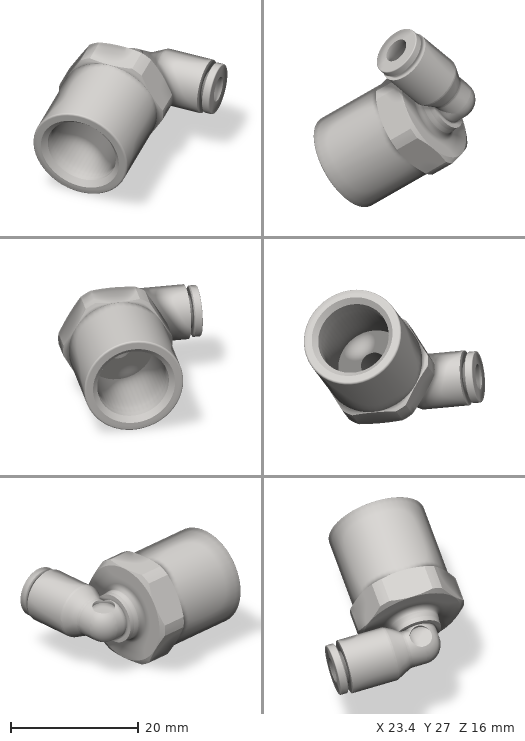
import cadquery as cq
import math


hex_flats = 16.0
hex_corner_radius = 8.75
hex_top_y = -4.47
hex_length = 5.0
hex_bottom_y = hex_top_y - hex_length
hex_chamfer_length = 0.43
hex_face_radius = 7.95

socket_radius = 7.92
socket_bottom_y = -22.6
socket_rim_fillet = 0.3
bore_radius = 5.75
bore_mouth_radius = 6.58
bore_mouth_depth = bore_mouth_radius - bore_radius
bore_floor_y = hex_bottom_y

ring_radius = 4.02
ring_top_y = -1.97
ring_bottom_y = -2.78
flare_bottom_y = -3.58
flare_radius = 4.15
root_fillet = 0.73

elbow_radius = 3.1
passage_radius = 2.02
cone_start_x = 2.6
cone_end_x = 5.15
cone_fillet = 0.75
arm_radius = 4.35
arm_end_x = 12.67

neck_radius = 2.61
button_radius = 4.07
button_start_x = 13.29
button_end_x = 14.6
button_back_chamfer_length = 0.25
button_back_chamfer_height = 0.15
button_front_fillet = 0.15

recess_radius = 1.78
recess_floor_z = 2.55


def rod_y(radius, low_y, high_y):
    """Cylinder on the Y axis."""
    return cq.Workplane("XZ", origin=(0, low_y, 0)).circle(radius).extrude(low_y - high_y)


def rod_x(radius, low_x, high_x):
    """Cylinder on the X axis."""
    return cq.Workplane("YZ", origin=(low_x, 0, 0)).circle(radius).extrude(high_x - low_x)


def make_nut():
    """Hexagon trimmed by a round envelope with a chamfer at each end."""
    hexagon = (
        cq.Workplane("XZ", origin=(0, hex_top_y, 0))
        .polygon(6, hex_flats / math.cos(math.pi / 6))
        .extrude(hex_length)
    )
    envelope = (
        cq.Workplane("XY")
        .moveTo(0, hex_top_y)
        .lineTo(hex_face_radius, hex_top_y)
        .lineTo(hex_corner_radius, hex_top_y - hex_chamfer_length)
        .lineTo(hex_corner_radius, hex_bottom_y + hex_chamfer_length)
        .lineTo(hex_face_radius, hex_bottom_y)
        .lineTo(0, hex_bottom_y)
        .close()
        .revolve(360, (0, 0, 0), (0, 1, 0))
    )
    return hexagon.intersect(envelope)


def make_socket():
    """Plain round socket with a rounded outer rim."""
    socket = rod_y(socket_radius, socket_bottom_y, hex_bottom_y)
    return socket.faces("<Y").edges().fillet(socket_rim_fillet)


def make_collar():
    """Swivel ring that flares out and blends into the nut."""
    fillet_top_y = hex_top_y + root_fillet
    fillet_centre_x = flare_radius + root_fillet
    fillet_reach = root_fillet * math.sqrt(0.5)
    fillet_middle = (fillet_centre_x - fillet_reach, fillet_top_y - fillet_reach)
    return (
        cq.Workplane("XY")
        .moveTo(0, ring_top_y)
        .lineTo(ring_radius, ring_top_y)
        .lineTo(ring_radius, ring_bottom_y)
        .lineTo(flare_radius, flare_bottom_y)
        .lineTo(flare_radius, fillet_top_y)
        .threePointArc(fillet_middle, (fillet_centre_x, hex_top_y))
        .lineTo(0, hex_top_y)
        .close()
        .revolve(360, (0, 0, 0), (0, 1, 0))
    )


def make_elbow():
    """Upright stem with a ball at the corner of the elbow."""
    ball = cq.Workplane("XY").sphere(elbow_radius)
    return ball.union(rod_y(elbow_radius, ring_top_y, 0))


def make_arm():
    """Elbow end that widens through a blended cone into the tube holder."""
    cone = (
        cq.Workplane("XY")
        .lineTo(0, elbow_radius)
        .lineTo(cone_start_x, elbow_radius)
        .lineTo(cone_end_x, arm_radius)
        .lineTo(arm_end_x, arm_radius)
        .lineTo(arm_end_x, 0)
        .close()
        .revolve(360, (0, 0, 0), (1, 0, 0))
    )
    return cone.faces("%CONE").edges("%CIRCLE").fillet(cone_fillet)


def make_button():
    """Release button: a neck carrying a disc with eased rims."""
    neck = rod_x(neck_radius, arm_end_x, button_start_x)
    disc = rod_x(button_radius, button_start_x, button_end_x)
    disc = disc.faces(">X").edges().fillet(button_front_fillet)
    disc = disc.faces("<X").chamfer(button_back_chamfer_height, button_back_chamfer_length)
    return neck.union(disc)


def make_socket_bore():
    """Blind socket bore with a conical mouth."""
    return (
        cq.Workplane("XY")
        .moveTo(0, bore_floor_y)
        .lineTo(bore_radius, bore_floor_y)
        .lineTo(bore_radius, socket_bottom_y + bore_mouth_depth)
        .lineTo(bore_mouth_radius, socket_bottom_y)
        .lineTo(0, socket_bottom_y)
        .close()
        .revolve(360, (0, 0, 0), (0, 1, 0))
    )


def make_recess():
    """Shallow round flat cut into the elbow."""
    return (
        cq.Workplane("XY", origin=(0, 0, recess_floor_z))
        .circle(recess_radius)
        .extrude(elbow_radius - recess_floor_z)
    )


def make_passage():
    """Flow passage from the socket floor, around the bend and out of the arm."""
    ball = cq.Workplane("XY").sphere(passage_radius)
    upright = rod_y(passage_radius, bore_floor_y, 0)
    outlet = rod_x(passage_radius, 0, button_end_x)
    return ball.union(upright).union(outlet)


result = (
    make_elbow()
    .union(make_arm())
    .union(make_button())
    .union(make_collar())
    .union(make_nut())
    .union(make_socket())
    .cut(make_recess())
    .cut(make_socket_bore())
    .cut(make_passage())
)